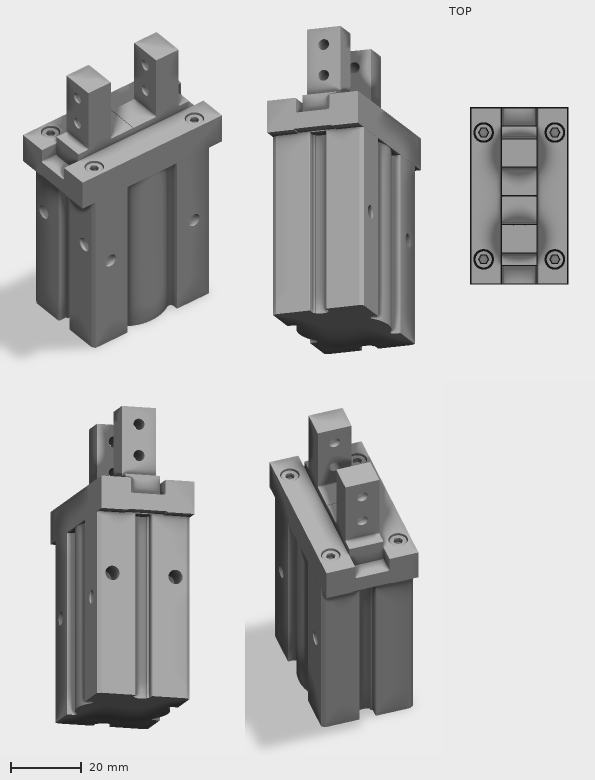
import cadquery as cq
import math

plate_width = 27.6
plate_length = 50.0
total_height = 84.8
body_width = 27.5
body_length = 42.0
body_height = 52.75
plate_top = 62.2

jaw_width = 10.2
slot_floor = 57.75
slot_floor_radius = 0.5
slot_edge_radius = 0.25

jaw_gap = 0.2
jaw_outer_end = 19.8
jaw_base_top = 64.4
finger_inner = 8.1
finger_outer = 16.2
finger_root_radius = 0.5
finger_hole_diameter = 3.2
finger_hole_heights = (70.7, 79.8)

corner_chamfer_x = 1.1
corner_chamfer_y = 0.7
side_radius = 13.5
side_groove_radius = 1.0
side_recess_half = 8.9
sensor_mouth = 4.75
sensor_mouth_depth = 2.7
sensor_mouth_chamfer = 0.25
sensor_seat = 3.6
sensor_depth = 3.9
sensor_floor_flat = 0.85
sensor_arc_diameter = 4.0

cross_hole_diameter = 4.0
cross_hole_offset = 15.0
cross_hole_height = 29.1
end_hole_diameter = 4.15
end_hole_offset = 9.3
end_hole_height = 35.0
end_hole_depth = 8.0
drill_tip_angle = 118.0

screw_x = 10.1
screw_y = 18.0
counterbore_diameter = 5.5
counterbore_depth = 3.5
head_diameter = 4.9
head_recess = 0.5
socket_across_flats = 2.5
socket_depth = 1.5

relief_width = 11.5
relief_depth = 0.25


def box(x_min, x_max, y_min, y_max, z_min, z_max):
    """A box between the given limits."""
    size = (x_max - x_min, y_max - y_min, z_max - z_min)
    return cq.Workplane("XY").box(*size, centered=False).translate((x_min, y_min, z_min))


def side_recess():
    """Halves of the space beside the rounded -X side: outside the round, with a valley at each end."""
    face = -body_width / 2
    valley_y = side_recess_half - side_groove_radius
    centre_distance = side_radius + side_groove_radius
    valley_x = -math.sqrt(centre_distance**2 - valley_y**2)
    tangent_x = valley_x * side_radius / centre_distance
    tangent_y = valley_y * side_radius / centre_distance
    end_angle = math.atan2(tangent_y - valley_y, tangent_x - valley_x)
    middle_angle = (math.pi / 2 + end_angle) / 2
    middle_x = valley_x + side_groove_radius * math.cos(middle_angle)
    middle_y = valley_y + side_groove_radius * math.sin(middle_angle)
    half = (
        cq.Workplane("XY")
        .moveTo(face, side_recess_half)
        .lineTo(valley_x, side_recess_half)
        .threePointArc((middle_x, middle_y), (tangent_x, tangent_y))
        .radiusArc((-side_radius, 0), -side_radius)
        .lineTo(face, 0)
        .close()
        .extrude(body_height)
    )
    return half, half.mirror("XZ")


def sensor_slot():
    """Stepped slot along Z in the -Y side: chamfered mouth, narrower seat, flat floor between two arcs."""
    face = -body_length / 2
    ledge = face + sensor_mouth_depth
    floor = face + sensor_depth
    mouth_x = sensor_mouth / 2
    flare_x = mouth_x + sensor_mouth_chamfer
    flare_y = face + sensor_mouth_chamfer
    seat_x = sensor_seat / 2
    flat_x = sensor_floor_flat / 2
    arc_radius = sensor_arc_diameter / 2
    arc_rise = arc_radius - math.sqrt(arc_radius**2 - (seat_x - flat_x) ** 2)
    return (
        cq.Workplane("XY")
        .moveTo(-flare_x, face)
        .lineTo(-mouth_x, flare_y)
        .lineTo(-mouth_x, ledge)
        .lineTo(-seat_x, ledge)
        .lineTo(-seat_x, floor - arc_rise)
        .radiusArc((-flat_x, floor), arc_radius)
        .lineTo(flat_x, floor)
        .radiusArc((seat_x, floor - arc_rise), arc_radius)
        .lineTo(seat_x, ledge)
        .lineTo(mouth_x, ledge)
        .lineTo(mouth_x, flare_y)
        .lineTo(flare_x, face)
        .close()
        .extrude(body_height)
    )


def end_hole(x):
    """Blind hole with a drill tip, entering the -Y side of the body."""
    radius = end_hole_diameter / 2
    tip_length = radius / math.tan(math.radians(drill_tip_angle / 2))
    return (
        cq.Workplane("XY")
        .lineTo(radius, 0)
        .lineTo(radius, end_hole_depth)
        .lineTo(0, end_hole_depth + tip_length)
        .close()
        .revolve(360, (0, 0), (0, 1))
        .translate((x, -body_length / 2, end_hole_height))
    )


def make_body():
    """Extruded lower part of the housing with its grooves and holes."""
    x = body_width / 2
    y = body_length / 2
    x_flat = x - corner_chamfer_x
    y_flat = y - corner_chamfer_y
    outline = [
        (x, -y_flat), (x, y_flat), (x_flat, y), (-x_flat, y),
        (-x, y_flat), (-x, -y_flat), (-x_flat, -y), (x_flat, -y),
    ]
    body = cq.Workplane("XY").polyline(outline).close().extrude(body_height)
    for recess in side_recess():
        body = body.cut(recess).cut(recess.mirror("YZ"))
    slot = sensor_slot()
    body = body.cut(slot).cut(slot.mirror("XZ"))
    for side in (-1, 1):
        cross_hole = (
            cq.Workplane("YZ", origin=(-x, side * cross_hole_offset, cross_hole_height))
            .circle(cross_hole_diameter / 2)
            .extrude(body_width)
        )
        body = body.cut(cross_hole).cut(end_hole(side * end_hole_offset))
    return body


def guide_slot():
    """Slot along Y for the jaws: rounded floor corners and rounded upper edges."""
    half = jaw_width / 2
    y = plate_length / 2
    slot = box(-half, half, -y, y, slot_floor, plate_top)
    slot = slot.edges("|Y and <Z").fillet(slot_floor_radius)
    edge_z = plate_top - slot_edge_radius
    edge_x = half + slot_edge_radius
    flare = box(-edge_x, edge_x, -y, y, edge_z, plate_top)
    for side in (-1, 1):
        rounding = (
            cq.Workplane("XZ", origin=(side * edge_x, y, edge_z))
            .circle(slot_edge_radius)
            .extrude(plate_length)
        )
        flare = flare.cut(rounding)
    return slot.union(flare)


def screw_recess():
    """Space around and inside one screw head, with its top opening at Z = 0."""
    head_height = counterbore_depth - head_recess
    bore = cq.Workplane("XY").circle(counterbore_diameter / 2).extrude(-counterbore_depth)
    socket_across_corners = socket_across_flats / math.cos(math.pi / 6)
    head = (
        cq.Workplane("XY", origin=(0, 0, -counterbore_depth))
        .circle(head_diameter / 2)
        .extrude(head_height)
        .faces(">Z")
        .workplane()
        .polygon(6, socket_across_corners)
        .cutBlind(-socket_depth)
    )
    return bore.cut(head)


def make_plate():
    """Top plate with the guide slot, screws and the relief under its overhangs."""
    x = plate_width / 2
    y = plate_length / 2
    plate = box(-x, x, -y, y, body_height, plate_top).cut(guide_slot())
    recess = screw_recess()
    for side_x in (-1, 1):
        for side_y in (-1, 1):
            plate = plate.cut(recess.translate((side_x * screw_x, side_y * screw_y, plate_top)))
    relief = box(
        -relief_width / 2, relief_width / 2, -y, -body_length / 2, body_height, body_height + relief_depth
    )
    return plate.cut(relief).cut(relief.mirror("XZ"))


def make_housing():
    """Body and plate as one piece."""
    return make_body().union(make_plate())


def make_jaw():
    """Jaw on the -Y side: a base in the guide slot and a finger with two cross holes."""
    half = jaw_width / 2
    base = box(-half, half, -jaw_outer_end, -jaw_gap / 2, slot_floor, jaw_base_top)
    finger = box(-half, half, -finger_outer, -finger_inner, jaw_base_top, total_height)
    jaw = base.edges("|Y and <Z").fillet(slot_floor_radius).union(finger)
    root_reach = finger_root_radius / 2
    for root_y in (-finger_outer, -finger_inner):
        root = cq.selectors.BoxSelector(
            (-half, root_y - root_reach, jaw_base_top - root_reach),
            (half, root_y + root_reach, jaw_base_top + root_reach),
        )
        jaw = jaw.edges(root).edges("|X").fillet(finger_root_radius)
    for height in finger_hole_heights:
        hole = (
            cq.Workplane("XZ", origin=(0, 0, height))
            .circle(finger_hole_diameter / 2)
            .extrude(jaw_outer_end)
        )
        jaw = jaw.cut(hole)
    return jaw


housing = make_housing()
jaws = [make_jaw().rotate((0, 0, 0), (0, 0, 1), angle) for angle in (0, 180)]

result = cq.Compound.makeCompound([housing.val(), *[jaw.val() for jaw in jaws]])